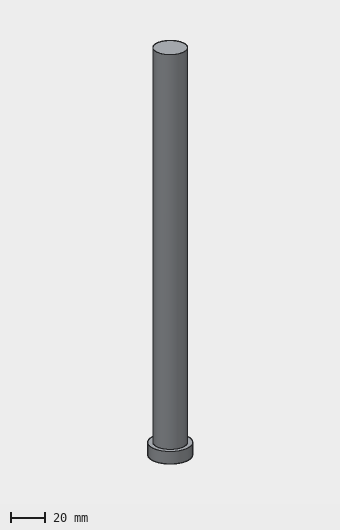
import cadquery as cq

total_length = 258.0
head_diameter = 26.0
head_height = 8.0
shank_diameter = 20.0
shank_length = total_length - head_height

head = cq.Workplane("XY").circle(head_diameter / 2).extrude(head_height)

result = head.faces(">Z").workplane().circle(shank_diameter / 2).extrude(shank_length)